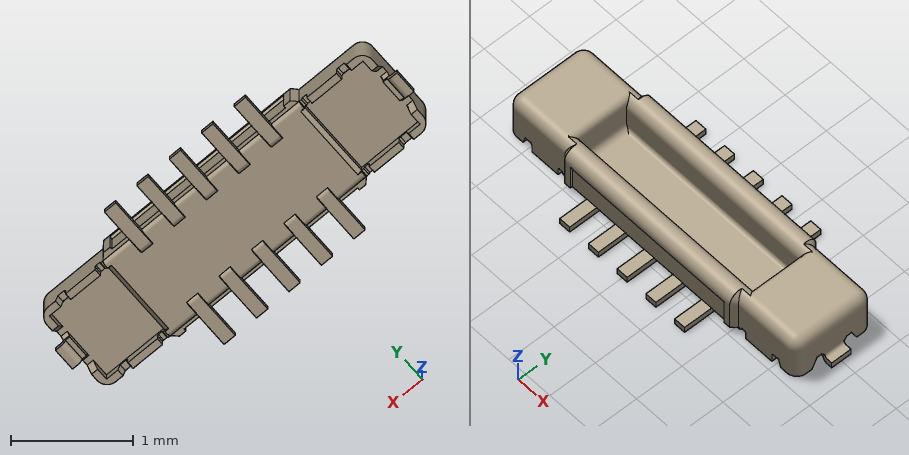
import cadquery as cq
import math

total_height = 0.47
end_length = 3.5
end_width = 0.848
edge_radius = 0.11
skirt_bottom = 0.022

rail_length = 2.115
rail_width = 0.95
rail_end_chamfer = 0.055
rail_bottom = 0.062

strip_radius = rail_bottom - skirt_bottom

pocket_floor = 0.11
pocket_length = rail_length
pocket_width = rail_width - 4 * edge_radius
pocket_end_lip_radius = 0.07
pocket_end_foot_radius = 0.075
pocket_side_foot_radius = 0.04

panel_length = 1.865
panel_top = 0.338
panel_depth = 0.022

sheet = 0.065
cavity_roof = 0.132

foot_outer_x = 1.457
foot_inner_x = 1.138

outer_notch_mouth_x = 1.565
outer_notch_roof_x = (1.538, 1.475)
outer_notch_roof = 0.105
outer_notch_bevel = 0.02

inner_notch_roof_x = (1.125, 1.09)
inner_notch_bevel_x = 1.08
inner_notch_roof = 0.088
inner_notch_bevel = 0.01

lead_count = 5
lead_pitch = 0.35
lead_width = 0.12
lead_span = 1.5
lead_inner_y = 0.275
lead_heel_radius = 0.045

nail_span = 3.67
nail_width = 0.213
nail_top_radius = 0.033
nail_heel_radius = 0.055

nail_notch_mouth_y = 0.245
nail_notch_roof_y = (0.19, 0.135)
nail_notch_bevel_z = 0.09


def box(length, width, bottom, top):
    """Box centred on the Z axis between two heights."""
    return cq.Workplane("XY").workplane(offset=bottom).rect(length, width).extrude(top - bottom)


def on_both_ends(feature):
    """Feature together with its mirror image at the other X end."""
    return feature.union(feature.mirror("YZ"))


def on_both_sides(feature):
    """Feature together with its mirror image on the other Y side."""
    return feature.union(feature.mirror("XZ"))


def make_end_blocks():
    """Full-length housing block; the pocket later splits its top into two end blocks."""
    block = box(end_length, end_width, skirt_bottom, total_height)
    return block.edges("|Z").fillet(edge_radius).faces(">Z").edges().fillet(edge_radius)


def make_rail_section():
    """Wider middle section with rounded long edges and chamfered ends."""
    section = box(rail_length, rail_width, rail_bottom, total_height)
    section = section.faces(">Z").edges("|X").fillet(edge_radius)
    end_outlines = section.faces("<X or >X").edges("not <Z")
    return section.newObject(end_outlines.vals()).chamfer(rail_end_chamfer)


def make_bottom_strip():
    """Strip with rounded long edges and ends bevelled between the skirts."""
    strip = box(rail_length, end_width, skirt_bottom, cavity_roof)
    strip = strip.faces("<Z").edges("|X").fillet(strip_radius)
    end = -rail_length / 2
    bevel = (
        cq.Workplane("XZ")
        .polyline([(end, skirt_bottom), (end + strip_radius, skirt_bottom), (end, rail_bottom)])
        .close()
        .extrude(end_width / 2 - sheet, both=True)
    )
    return strip.cut(on_both_ends(bevel))


def flared_prism(plane, wall_span, lip_radius, foot_radius, depth):
    """Prism with a flared mouth at the top and rounded edges at the pocket floor."""
    wall = wall_span / 2
    lip_arc = lip_radius * (1 - math.sqrt(0.5))
    foot_arc = foot_radius * (1 - math.sqrt(0.5))
    mouth = wall + lip_radius
    floor = wall - foot_radius
    return (
        cq.Workplane(plane)
        .moveTo(-floor, pocket_floor)
        .lineTo(floor, pocket_floor)
        .threePointArc((wall - foot_arc, pocket_floor + foot_arc), (wall, pocket_floor + foot_radius))
        .lineTo(wall, total_height - lip_radius)
        .threePointArc((wall + lip_arc, total_height - lip_arc), (mouth, total_height))
        .lineTo(-mouth, total_height)
        .threePointArc((-wall - lip_arc, total_height - lip_arc), (-wall, total_height - lip_radius))
        .lineTo(-wall, pocket_floor + foot_radius)
        .threePointArc((-wall + foot_arc, pocket_floor + foot_arc), (-floor, pocket_floor))
        .close()
        .extrude(depth / 2, both=True)
    )


def make_pocket():
    """Pocket cutter whose end and side walls meet in mitred corners."""
    along = flared_prism("XZ", pocket_length, pocket_end_lip_radius, pocket_end_foot_radius, rail_width)
    across = flared_prism("YZ", pocket_width, edge_radius, pocket_side_foot_radius, end_length)
    return along.intersect(across)


def make_side_panel():
    """Panel cutter for the -Y side; its top edge slopes at 45 degrees."""
    face = -rail_width / 2
    return (
        cq.Workplane("YZ")
        .polyline([
            (face, rail_bottom),
            (face + panel_depth, rail_bottom),
            (face + panel_depth, panel_top - panel_depth),
            (face, panel_top),
        ])
        .close()
        .extrude(panel_length / 2, both=True)
    )


def make_end_cavity():
    """Hollow under the -X end block."""
    outer_x = -end_length / 2 + sheet
    inner_x = -rail_length / 2
    return (
        cq.Workplane("XY")
        .center((outer_x + inner_x) / 2, 0)
        .rect(inner_x - outer_x, end_width - 2 * sheet)
        .extrude(cavity_roof)
    )


def make_skirt_feet():
    """Extensions of the two long skirts of the -X end block down to the board."""
    return (
        cq.Workplane("XY")
        .pushPoints([
            (-(foot_outer_x + foot_inner_x) / 2, side * (end_width - sheet) / 2)
            for side in (-1, 1)
        ])
        .rect(foot_outer_x - foot_inner_x, sheet)
        .extrude(cavity_roof)
    )


def make_skirt_notches():
    """Notches beside the feet of the -X end block, cut through both long skirts."""
    outer_notch = [
        (-outer_notch_mouth_x, skirt_bottom),
        (-outer_notch_roof_x[0], outer_notch_roof),
        (-outer_notch_roof_x[1], outer_notch_roof),
        (-foot_outer_x, outer_notch_roof - outer_notch_bevel),
        (-foot_outer_x, 0),
        (-outer_notch_mouth_x, 0),
    ]
    inner_notch = [
        (-foot_inner_x, 0),
        (-foot_inner_x, inner_notch_roof - inner_notch_bevel),
        (-inner_notch_roof_x[0], inner_notch_roof),
        (-inner_notch_roof_x[1], inner_notch_roof),
        (-inner_notch_bevel_x, rail_bottom),
        (-rail_length / 2, rail_bottom),
        (-rail_length / 2, 0),
    ]
    notches = cq.Workplane("XZ")
    for outline in (outer_notch, inner_notch):
        notches = notches.polyline(outline).close()
    return notches.extrude(end_width / 2, both=True)


def make_nail_notch():
    """Notch on the +Y side of the -X end nail."""
    return (
        cq.Workplane("YZ")
        .workplane(offset=-end_length / 2)
        .polyline([
            (nail_notch_mouth_y, skirt_bottom),
            (nail_notch_roof_y[0], cavity_roof),
            (nail_notch_roof_y[1], cavity_roof),
            (nail_width / 2, nail_notch_bevel_z),
            (nail_width / 2, skirt_bottom),
        ])
        .close()
        .extrude(sheet)
    )


def make_nail():
    """Solder nail bent outward from the skirt of the -X end block."""
    tip = -nail_span / 2
    wall = -end_length / 2
    bend = wall - nail_top_radius
    top_arc = nail_top_radius * math.sqrt(0.5)
    heel_arc = nail_heel_radius * math.sqrt(0.5)
    return (
        cq.Workplane("XZ")
        .moveTo(tip, 0)
        .lineTo(bend, 0)
        .threePointArc(
            (bend + heel_arc, nail_heel_radius - heel_arc),
            (bend + nail_heel_radius, nail_heel_radius),
        )
        .lineTo(wall + sheet, nail_heel_radius)
        .lineTo(wall + sheet, sheet + nail_top_radius)
        .lineTo(wall, sheet + nail_top_radius)
        .threePointArc((bend + top_arc, sheet + nail_top_radius - top_arc), (bend, sheet))
        .lineTo(tip, sheet)
        .close()
        .extrude(nail_width / 2, both=True)
    )


def make_nail_clearance():
    """Skirt material removed where the -X end nail takes its place."""
    return (
        cq.Workplane("XY")
        .center(-end_length / 2 + sheet / 2, 0)
        .rect(sheet, nail_width)
        .extrude(sheet)
    )


def make_leads():
    """Leads on the -Y side, rounded at the heel under the housing."""
    length = lead_span / 2 - lead_inner_y
    row = (
        cq.Workplane("XY")
        .center(0, -(lead_inner_y + length / 2))
        .rarray(lead_pitch, 0.035, lead_count, 1)
        .rect(lead_width, length)
        .extrude(sheet)
    )
    return row.faces("<Z").edges(">Y").fillet(lead_heel_radius)


result = (
    make_end_blocks()
    .cut(on_both_ends(make_end_cavity()))
    .cut(box(rail_length, rail_width, 0, rail_bottom))
    .union(on_both_ends(make_skirt_feet()))
    .cut(on_both_ends(make_skirt_notches()))
    .cut(on_both_ends(on_both_sides(make_nail_notch())))
    .cut(on_both_ends(make_nail_clearance()))
    .union(make_rail_section())
    .union(make_bottom_strip())
    .cut(make_pocket(), clean=False)
    .cut(on_both_sides(make_side_panel()), clean=False)
    .union(on_both_ends(make_nail()), clean=False)
    .union(on_both_sides(make_leads()), clean=False)
)